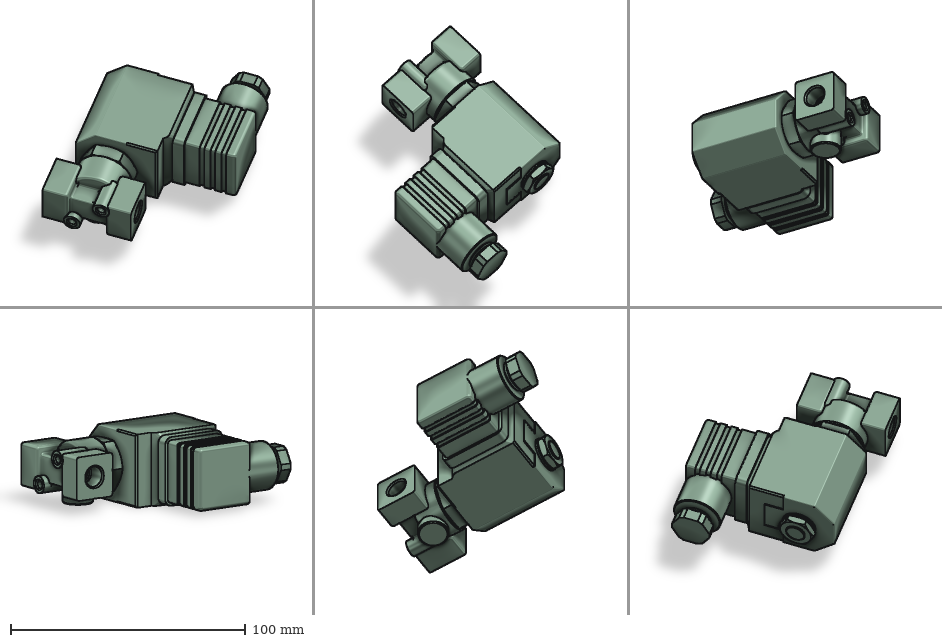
import cadquery as cq
import math


PORT_BLOCK_END = 20.1
PORT_BLOCK_INNER = 8.7
PORT_BLOCK_SIZE = 19.1
PORT_BLOCK_BOTTOM = 0.5
PORT_AXIS_Y = PORT_BLOCK_BOTTOM + PORT_BLOCK_SIZE / 2
BLOCK_ROUND = 1.5
BLOCK_FACE_ROUND = 1.4
WEB_HALF_HEIGHT = 5.9
WEB_BOTTOM = 2.9
WEB_ROUND = 0.9
CORNER_BLEND = 1.3
COLLAR_RADIUS = 12.2
COLLAR_BOTTOM = 11.2
COLLAR_TOP = 24.8
COLLAR_ROUND = 1.8
COLLAR_CHAMFER = 0.55
COLLAR_BLEND = 1.5
SCREW_BOSS_RADIUS = 3.7
SCREW_BOSS_OFFSET = 6.6
SCREW_BOSS_TOP = 15.3
SCREW_BOSS_ROUND = 1.5
BOSS_BLEND = 1.3
SCREW_HOLE_DIAMETER = 3.5
SCREW_HOLE_MOUTH = 4.7
SCREW_HOLE_DEPTH = 4.6
SIDE_BOSS_RADIUS = 6.6
SIDE_BOSS_Y = 15.8
SIDE_BOSS_END = 15.05
SIDE_BOSS_CHAMFER = 0.55
PORT_MOUTH_DIAMETER = 10.0
PORT_DIAMETER = 8.7
PORT_DEPTH = 8.2
PORT_SEAT_DIAMETER = 6.6
PORT_SEAT_DEPTH = 1.4
PORT_BLEED_DIAMETER = 1.0
PORT_BLEED_DEPTH = 1.8

BODY_NUT_FLATS = 22.0
BODY_NUT_FACE_RADIUS = 10.9
COIL_BOTTOM = 31.3

COIL_TOP = 72.6
COIL_WIDTH = 32.0
COIL_HALF_WIDTH = COIL_WIDTH / 2
COIL_LEFT = -16.0
COIL_SLOPE = 9.0
COIL_RIGHT = 21.1
COIL_ROUND = 0.7
COIL_END_ROUND = 0.69
SEAT_END = 24.9
SEAT_EDGE_SPAN = 0.9
SEAT_CORNER_ROUND = 1.8
SEAT_BOTTOM = 39.2
SEAT_SLOPE_X = 2.0
SEAT_SLOPE_Y = 3.4
COIL_STEP_X = 7.3
COIL_STEP_DEPTH = 0.5
PAD_END = 15.8
PAD_HALF_WIDTH = 7.3

WASHER_RADIUS = 7.5
WASHER_THICKNESS = 0.9
TOP_NUT_FLATS = 14.0
TOP_NUT_FACE_RADIUS = 7.0
TOP_NUT_NECK_RADIUS = 6.7
TOP_NUT_BOTTOM = 73.8
TOP_NUT_TOP = 77.25
STUB_RADIUS = 4.3
STUB_HEIGHT = 0.55
STUB_CHAMFER = 0.3

PLUG_END = 53.2
PLUG_CENTER_Y = 55.2
FLANGE_THICKNESS = 5.1
FLANGE_HEIGHT = 30.0
FLANGE_LENGTH = 30.1
FLANGE_ROUND = 3.3
HOOD_SIZE = 27.4
HOOD_ROUND = 1.7
HOOD_END_ROUND = 1.6
RIB_GROOVE_START = 36.7
RIB_GROOVE_PITCH = 4.9
RIB_GROOVE_WIDTH = 2.1
RIB_GROOVE_DEPTH = 0.6
RIB_GROOVE_COUNT = 3
SPOUT_RADIUS = 10.6
SPOUT_TOP = 83.3
SPOUT_CHAMFER = 0.4
SPOUT_X = PLUG_END - SPOUT_RADIUS

GLAND_TOP = 91.2
GLAND_HEX_BOTTOM = 86.0
GLAND_FLATS = 16.0
GLAND_CORNER_CUT = 1.5
THREAD_CREST_RADIUS = 6.75
THREAD_ROOT_RADIUS = 5.7
THREAD_PITCH = 1.4
THREAD_RINGS = 2

TAN_30 = math.tan(math.radians(30))
COS_30 = math.cos(math.radians(30))
EDGE_TOLERANCE = 0.1


def rod_y(radius, bottom, top, x=0, z=0):
    """Cylinder standing along Y."""
    return cq.Workplane("XZ", origin=(x, top, z)).circle(radius).extrude(top - bottom)


def turned_y(profile, x=0):
    """Solid turned about a line along Y, from (radius, y) points."""
    return cq.Workplane("XY", origin=(x, 0, 0)).polyline(profile).close().revolve(360, (0, 0), (0, 1))


def hexagon_y(flats, bottom, top, x=0):
    """Hexagonal prism along Y with corners toward +X and -X."""
    corners = flats / COS_30
    return cq.Workplane("XZ", origin=(x, top, 0)).polygon(6, corners).extrude(top - bottom)


def rounded_slab(x_start, x_end, length_y, height_z, center_y, corner):
    """Slab facing along X with rounded long edges."""
    slab = cq.Workplane("YZ", origin=(x_start, center_y, 0)).rect(length_y, height_z).extrude(x_end - x_start)
    return slab.edges("|X").fillet(corner)


def port_block(side):
    """Square block at one end; side is -1 or +1 along X."""
    start, end = sorted((side * PORT_BLOCK_INNER, side * PORT_BLOCK_END))
    block = rounded_slab(start, end, PORT_BLOCK_SIZE, PORT_BLOCK_SIZE, PORT_AXIS_Y, BLOCK_ROUND)
    inner_face = "<X" if side > 0 else ">X"
    return block.faces(inner_face).edges().fillet(BLOCK_FACE_ROUND)


def port_hole(side):
    """Threaded port with a stepped floor, cut in from one end."""
    chamfer = (PORT_MOUTH_DIAMETER - PORT_DIAMETER) / 2
    seat = PORT_DEPTH + PORT_SEAT_DEPTH
    floor = seat + PORT_BLEED_DEPTH
    profile = [
        (0, 0),
        (0, PORT_MOUTH_DIAMETER / 2),
        (chamfer, PORT_DIAMETER / 2),
        (PORT_DEPTH, PORT_DIAMETER / 2),
        (PORT_DEPTH, PORT_SEAT_DIAMETER / 2),
        (seat, PORT_SEAT_DIAMETER / 2),
        (seat, PORT_BLEED_DIAMETER / 2),
        (floor, PORT_BLEED_DIAMETER / 2),
        (floor, 0),
    ]
    points = [(side * (PORT_BLOCK_END - depth), radius) for depth, radius in profile]
    hole = cq.Workplane("XY").polyline(points).close().revolve(360, (0, 0), (1, 0))
    return hole.translate((0, PORT_AXIS_Y, 0))


def screw_hole(offset):
    """Blind mounting hole with a countersunk mouth and a drill point."""
    mouth = SCREW_HOLE_MOUTH / 2
    radius = SCREW_HOLE_DIAMETER / 2
    tip = SCREW_HOLE_DEPTH + radius * TAN_30
    profile = [(0, 0), (mouth, 0), (radius, mouth - radius), (radius, SCREW_HOLE_DEPTH), (0, tip)]
    return turned_y(profile, offset).translate((0, 0, offset))


def make_web():
    """Bar between the port blocks, blended into both of them."""
    height = SCREW_BOSS_TOP - WEB_BOTTOM
    length = 2 * (PORT_BLOCK_INNER + BLOCK_ROUND)
    web = cq.Workplane("XY").box(length, height, 2 * WEB_HALF_HEIGHT)
    web = web.translate((0, WEB_BOTTOM + height / 2, 0)).faces("<Y").edges("|X").fillet(WEB_ROUND)
    frame = web.union(port_block(-1)).union(port_block(1))
    joints = [
        edge for edge in frame.edges().vals()
        if abs(abs(edge.Center().x) - PORT_BLOCK_INNER) < EDGE_TOLERANCE
        and abs(edge.Center().z) < WEB_HALF_HEIGHT + EDGE_TOLERANCE
    ]
    return frame.newObject(joints).fillet(CORNER_BLEND)


def web_collar_blend(side):
    """Concave filler along the corner of the web and the collar; side is -1 or +1 along Z."""
    inner = side * WEB_HALF_HEIGHT
    outer = side * (WEB_HALF_HEIGHT + COLLAR_BLEND)
    low = COLLAR_BOTTOM - COLLAR_BLEND
    sag = COLLAR_BLEND * (1 - math.sqrt(0.5))
    half_length = PORT_BLOCK_INNER - CORNER_BLEND
    filler = cq.Workplane("YZ").moveTo(COLLAR_BOTTOM, inner).lineTo(COLLAR_BOTTOM, outer)
    filler = filler.threePointArc((COLLAR_BOTTOM - sag, inner + side * sag), (low, inner)).close()
    return filler.extrude(half_length, both=True)


def boss_web_blend():
    """Stretch of the web with the screw bosses filleted into its flanks."""
    start = WEB_BOTTOM + WEB_ROUND
    height = COLLAR_BOTTOM - start
    core = cq.Workplane("XY").box(2 * PORT_BLOCK_INNER, height, 2 * WEB_HALF_HEIGHT)
    core = core.translate((0, start + height / 2, 0))
    for offset in (-SCREW_BOSS_OFFSET, SCREW_BOSS_OFFSET):
        core = core.union(rod_y(SCREW_BOSS_RADIUS, start, COLLAR_BOTTOM, offset, offset))
    corners = [
        edge for edge in core.edges("|Y").vals()
        if abs(edge.Center().x) < SCREW_BOSS_OFFSET
        and abs(abs(edge.Center().z) - WEB_HALF_HEIGHT) < EDGE_TOLERANCE
    ]
    return core.newObject(corners).fillet(BOSS_BLEND)


def make_collar():
    collar = rod_y(COLLAR_RADIUS, COLLAR_BOTTOM, COLLAR_TOP)
    collar = collar.faces("<Y").edges().fillet(COLLAR_ROUND)
    return collar.faces(">Y").edges().chamfer(COLLAR_CHAMFER)


def make_side_boss():
    boss = cq.Workplane("XY", origin=(0, SIDE_BOSS_Y, -SIDE_BOSS_END)).circle(SIDE_BOSS_RADIUS)
    return boss.extrude(SIDE_BOSS_END).faces("<Z").edges().chamfer(SIDE_BOSS_CHAMFER)


def make_valve_body():
    body = make_web().union(make_collar()).union(boss_web_blend()).union(make_side_boss())
    for side in (-1, 1):
        body = body.union(web_collar_blend(side))
    for offset in (-SCREW_BOSS_OFFSET, SCREW_BOSS_OFFSET):
        boss = rod_y(SCREW_BOSS_RADIUS, 0, SCREW_BOSS_TOP, offset, offset)
        body = body.union(boss.faces(">Y").edges().fillet(SCREW_BOSS_ROUND))
        body = body.cut(screw_hole(offset))
    for side in (-1, 1):
        body = body.cut(port_hole(side))
    return body


def make_body_nut():
    corner = BODY_NUT_FLATS / 2 / COS_30
    shoulder = COIL_BOTTOM - (corner - BODY_NUT_FACE_RADIUS) * TAN_30
    envelope = turned_y([
        (0, COLLAR_TOP),
        (corner, COLLAR_TOP),
        (corner, shoulder),
        (BODY_NUT_FACE_RADIUS, COIL_BOTTOM),
        (0, COIL_BOTTOM),
    ])
    return hexagon_y(BODY_NUT_FLATS, COLLAR_TOP, COIL_BOTTOM).intersect(envelope)


def make_coil():
    step_top = COIL_TOP - COIL_STEP_DEPTH
    nut_side = [
        (COIL_LEFT, COIL_BOTTOM),
        (COIL_STEP_X, COIL_BOTTOM),
        (COIL_STEP_X, COIL_TOP),
        (COIL_LEFT, COIL_TOP),
    ]
    plug_side = [
        (COIL_RIGHT, COIL_BOTTOM),
        (COIL_RIGHT, SEAT_BOTTOM),
        (SEAT_END, SEAT_BOTTOM + SEAT_SLOPE_Y),
        (SEAT_END, step_top - SEAT_SLOPE_Y),
        (SEAT_END - SEAT_SLOPE_X, step_top),
        (COIL_STEP_X, step_top),
        (COIL_STEP_X, COIL_BOTTOM),
    ]
    plan = [
        (COIL_LEFT, COIL_HALF_WIDTH - COIL_SLOPE),
        (COIL_LEFT + COIL_SLOPE, COIL_HALF_WIDTH),
        (SEAT_END - SEAT_SLOPE_X, COIL_HALF_WIDTH),
        (SEAT_END, COIL_HALF_WIDTH - SEAT_SLOPE_X),
    ]
    plan += [(x, -z) for x, z in reversed(plan)]
    outline = cq.Workplane("XZ").polyline(plan).close().extrude(-COIL_TOP)
    plug_part = cq.Workplane("XY").polyline(plug_side).close().extrude(COIL_HALF_WIDTH, both=True)
    plug_part = plug_part.intersect(outline)
    seat_corners = []
    for edge in plug_part.edges().vals():
        box = edge.BoundingBox()
        if min(box.xlen, box.ylen, box.zlen) > SEAT_EDGE_SPAN:
            seat_corners.append(edge)
    plug_part = plug_part.newObject(seat_corners).fillet(SEAT_CORNER_ROUND)
    plug_part = plug_part.faces("<Y").edges("not <X").chamfer(COIL_ROUND)
    plug_part = plug_part.faces(">Y").edges("|X").chamfer(COIL_ROUND)
    nut_part = cq.Workplane("XY").polyline(nut_side).close().extrude(COIL_HALF_WIDTH, both=True)
    nut_part = nut_part.intersect(outline)
    nut_part = nut_part.edges("|Y").edges("not >X").fillet(COIL_ROUND)
    nut_part = nut_part.faces("<Y or >Y").edges("not >X").fillet(COIL_END_ROUND)
    coil = nut_part.union(plug_part)
    pad = cq.Workplane("XY").box(PAD_END - COIL_STEP_X, COIL_STEP_DEPTH, 2 * PAD_HALF_WIDTH)
    return coil.union(pad.translate(((PAD_END + COIL_STEP_X) / 2, COIL_TOP - COIL_STEP_DEPTH / 2, 0)))


def make_top_nut():
    corner = TOP_NUT_FLATS / 2 / COS_30
    bevel = (corner - TOP_NUT_FACE_RADIUS) * TAN_30
    envelope = turned_y([
        (0, TOP_NUT_BOTTOM),
        (TOP_NUT_FACE_RADIUS, TOP_NUT_BOTTOM),
        (corner, TOP_NUT_BOTTOM + bevel),
        (corner, TOP_NUT_TOP - bevel),
        (TOP_NUT_FACE_RADIUS, TOP_NUT_TOP),
        (0, TOP_NUT_TOP),
    ])
    nut = hexagon_y(TOP_NUT_FLATS, TOP_NUT_BOTTOM, TOP_NUT_TOP).intersect(envelope)
    washer = rod_y(WASHER_RADIUS, COIL_TOP, COIL_TOP + WASHER_THICKNESS)
    neck = rod_y(TOP_NUT_NECK_RADIUS, COIL_TOP, TOP_NUT_BOTTOM)
    stub = rod_y(STUB_RADIUS, TOP_NUT_BOTTOM, TOP_NUT_TOP + STUB_HEIGHT)
    stub = stub.faces(">Y").edges().chamfer(STUB_CHAMFER)
    return nut.union(washer).union(neck).union(stub)


def make_plug():
    flange_end = SEAT_END + FLANGE_THICKNESS
    flange = rounded_slab(SEAT_END, flange_end, FLANGE_LENGTH, FLANGE_HEIGHT, PLUG_CENTER_Y, FLANGE_ROUND)
    hood = rounded_slab(flange_end, PLUG_END, HOOD_SIZE, HOOD_SIZE, PLUG_CENTER_Y, HOOD_ROUND)
    hood = hood.faces(">X").edges().fillet(HOOD_END_ROUND)
    core_size = HOOD_SIZE - 2 * RIB_GROOVE_DEPTH
    core_round = HOOD_ROUND - RIB_GROOVE_DEPTH
    for index in range(RIB_GROOVE_COUNT):
        start = RIB_GROOVE_START + index * RIB_GROOVE_PITCH
        end = start + RIB_GROOVE_WIDTH
        ring = cq.Workplane("YZ", origin=(start, PLUG_CENTER_Y, 0)).rect(2 * HOOD_SIZE, 2 * HOOD_SIZE)
        ring = ring.extrude(RIB_GROOVE_WIDTH)
        ring = ring.cut(rounded_slab(start, end, core_size, core_size, PLUG_CENTER_Y, core_round))
        hood = hood.cut(ring)
    spout = rod_y(SPOUT_RADIUS, PLUG_CENTER_Y, SPOUT_TOP, SPOUT_X)
    spout = spout.faces(">Y").edges().chamfer(SPOUT_CHAMFER)
    return flange.union(hood).union(spout)


def make_gland():
    head = hexagon_y(GLAND_FLATS, GLAND_HEX_BOTTOM, GLAND_TOP, SPOUT_X)
    head = head.edges("|Y").chamfer(GLAND_CORNER_CUT)
    shank = rod_y(THREAD_ROOT_RADIUS, SPOUT_TOP, GLAND_HEX_BOTTOM, SPOUT_X)
    gland = head.union(shank)
    for index in range(THREAD_RINGS):
        base = SPOUT_TOP + index * THREAD_PITCH
        ridge = turned_y([
            (0, base),
            (THREAD_ROOT_RADIUS, base),
            (THREAD_CREST_RADIUS, base + THREAD_PITCH / 2),
            (THREAD_ROOT_RADIUS, base + THREAD_PITCH),
            (0, base + THREAD_PITCH),
        ], SPOUT_X)
        gland = gland.union(ridge)
    return gland


valve_body = make_valve_body()
body_nut = make_body_nut()
coil = make_coil()
top_nut = make_top_nut()
plug = make_plug()
gland = make_gland()

result = cq.Compound.makeCompound([
    valve_body.val(),
    body_nut.val(),
    coil.val(),
    top_nut.val(),
    plug.val(),
    gland.val(),
])